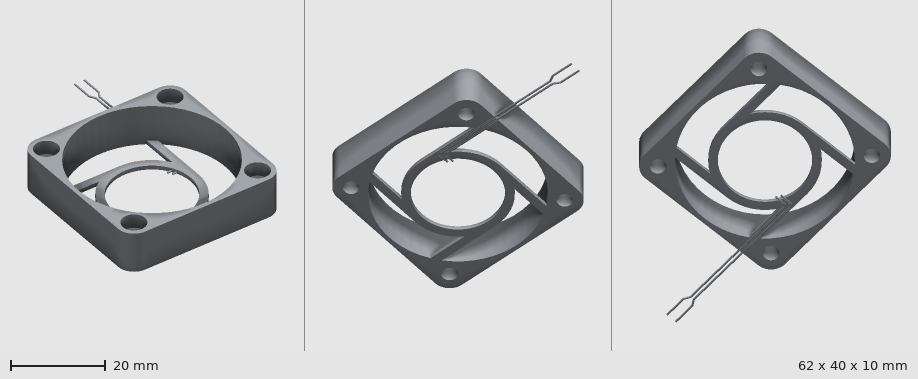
import cadquery as cq

frame_width = 40.0
frame_height = 10.0
corner_radius = 4.0
bore_diameter = 38.0

hole_spacing = 32.0
hole_diameter = 3.5
counterbore_diameter = 5.7
counterbore_depth = 3.5

ring_inner_diameter = 20.0
spoke_width = 2.0
spoke_thickness = 1.0
spoke_count = 4
ring_inner_radius = ring_inner_diameter / 2
ring_outer_radius = ring_inner_radius + spoke_width
spoke_middle = ring_inner_radius + spoke_width / 2

overall_length = 62.0
wire_diameter = 0.45
wire_radius = wire_diameter / 2
wire_pitch = 2 * wire_diameter
wire_bend_radius = 0.6
wire_end_x = frame_width / 2 - overall_length

split_start_x = -35.4
split_end_x = -36.8
split_offset = 0.8

upper_wire_turn_x = -4.1
upper_wire_inner_y = 8.2
lower_wire_turn_x = -5.1
lower_wire_inner_y = 7.6


def wire_points(side, turn_x, inner_end_y):
    """XY corner points of a wire, from its free end to its end inside the ring."""
    run_y = spoke_middle + side * wire_pitch / 2
    free_y = run_y + side * split_offset
    return [
        (wire_end_x, free_y),
        (split_end_x, free_y),
        (split_start_x, run_y),
        (turn_x, run_y),
        (turn_x, inner_end_y),
    ]


def sweep_along(profile, points, height):
    """Sweep a profile along the points at one height, with rounded bends."""
    corners = [cq.Vector(x, y, height) for x, y in points]
    path = cq.Wire.makePolygon(corners).fillet(wire_bend_radius)
    return profile.sweep(cq.Workplane(path))


def make_wire(points):
    """Round wire resting on the bottom plane of the frame."""
    start_x, start_y = points[0]
    profile = cq.Workplane("YZ", origin=(start_x, start_y, wire_radius)).circle(wire_radius)
    return sweep_along(profile, points, wire_radius)


def make_channel(points):
    """Cutter for the groove of one wire: open at the bottom, with a round top that fits the wire."""
    start_x, start_y = points[0]
    slot_profile = (
        cq.Workplane("YZ", origin=(start_x, start_y, 0))
        .center(0, wire_radius / 2)
        .rect(wire_diameter, wire_radius)
    )
    slot = sweep_along(slot_profile, points, 0)
    return make_wire(points).union(slot)


def make_housing():
    """Square housing with rounded corners, the fan bore and counterbored mounting holes."""
    return (
        cq.Workplane("XY")
        .rect(frame_width, frame_width)
        .extrude(frame_height)
        .edges("|Z")
        .fillet(corner_radius)
        .faces(">Z")
        .workplane()
        .hole(bore_diameter)
        .faces(">Z")
        .workplane()
        .rect(hole_spacing, hole_spacing, forConstruction=True)
        .vertices()
        .cboreHole(hole_diameter, counterbore_diameter, counterbore_depth)
    )


def make_ring_with_spokes():
    """Motor ring at the bottom of the bore, held by spokes that reach into the housing."""
    ring = cq.Workplane("XY").circle(ring_outer_radius).extrude(spoke_thickness)
    spoke_length = bore_diameter / 2
    spoke = (
        cq.Workplane("XY")
        .center(-spoke_length / 2, spoke_middle)
        .rect(spoke_length, spoke_width)
        .extrude(spoke_thickness)
    )
    for index in range(spoke_count):
        ring = ring.union(spoke.rotate((0, 0, 0), (0, 0, 1), index * 360 / spoke_count))
    opening = cq.Workplane("XY").circle(ring_inner_radius).extrude(spoke_thickness)
    return ring.cut(opening)


wire_routes = [
    wire_points(1, upper_wire_turn_x, upper_wire_inner_y),
    wire_points(-1, lower_wire_turn_x, lower_wire_inner_y),
]
wires = [make_wire(points) for points in wire_routes]

frame = make_housing().union(make_ring_with_spokes())
for points in wire_routes:
    frame = frame.cut(make_channel(points))

result = cq.Compound.makeCompound([frame.val(), *[wire.val() for wire in wires]])